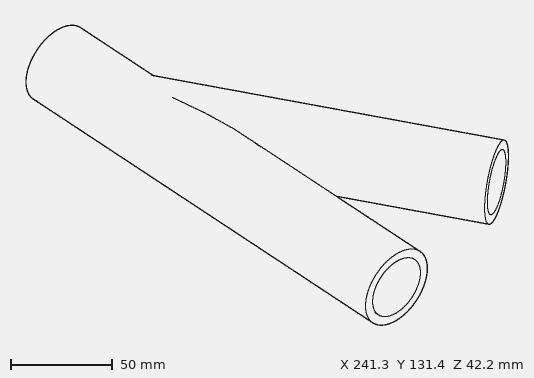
import cadquery as cq
import math

main_length = 241.3
outer_diameter = 42.2
bore_diameter = 32.5

branch_angle = 30.0
branch_start_from_end = 57.0
branch_length = 184.0

branch_start = (branch_start_from_end - main_length / 2, 0, 0)
branch_direction = (
    math.cos(math.radians(branch_angle)),
    math.sin(math.radians(branch_angle)),
    0,
)
main_plane = cq.Plane(origin=(-main_length / 2, 0, 0), xDir=(0, 1, 0), normal=(1, 0, 0))
branch_plane = cq.Plane(origin=branch_start, xDir=(0, 0, 1), normal=branch_direction)


def rod(plane, diameter, length):
    """Solid cylinder starting on the plane and running along its normal."""
    return cq.Workplane(plane).circle(diameter / 2).extrude(length)


def mitred_branch(diameter):
    """Branch cylinder, mitred where it meets the main pipe of equal diameter."""
    overrun = outer_diameter
    start_plane = cq.Plane(
        origin=branch_plane.toWorldCoords((0, 0, -overrun)).toTuple(),
        xDir=(0, 0, 1),
        normal=branch_direction,
    )
    cylinder = rod(start_plane, diameter, branch_length + overrun)

    mitre_angle = math.radians(branch_angle / 2)
    mitre_plane = cq.Plane(
        origin=branch_start,
        xDir=(0, 0, 1),
        normal=(math.cos(mitre_angle), math.sin(mitre_angle), 0),
    )
    keep_size = 2 * (branch_length + overrun)
    keep = cq.Workplane(mitre_plane).rect(keep_size, keep_size).extrude(keep_size)
    return cylinder.intersect(keep)


outside = rod(main_plane, outer_diameter, main_length).union(mitred_branch(outer_diameter))
main_bore = rod(main_plane, bore_diameter, main_length)
branch_bore = mitred_branch(bore_diameter)

result = outside.cut(main_bore).cut(branch_bore)